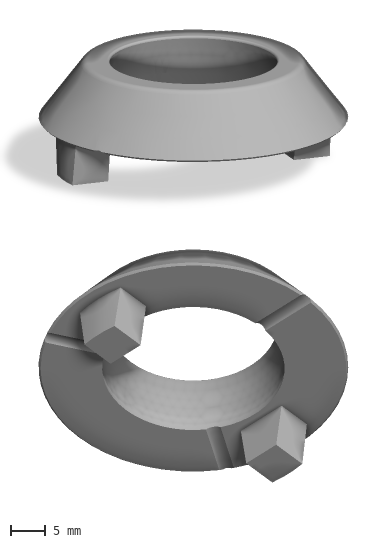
import cadquery as cq
import math

ring_height = 8.925
rim_radius = 22.41
rim_chamfer = 0.3
shoulder_radius = 15.9
shoulder_fillet = 1.2

bore_bottom_radius = 13.2
bore_bulge_radius = 13.5
bore_bulge_height = 2.8
bore_neck_radius = 12.15
neck_fillet = 0.35

leg_length = 7.0
leg_outer_radius = 20.3
leg_inner_offset = 14.5
leg_top_width = 8.0
leg_bottom_width = 5.9

groove_diameter = 3.2
groove_depth = 0.42
groove_angles = [60, 180, 300]


def make_ring():
    """Conical ring with a rounded top shoulder and a bulging bore."""
    blank = (
        cq.Workplane("XZ")
        .moveTo(0, 0)
        .lineTo(rim_radius - rim_chamfer, 0)
        .lineTo(rim_radius, rim_chamfer)
        .lineTo(shoulder_radius, ring_height)
        .lineTo(0, ring_height)
        .close()
        .revolve(360, (0, 0, 0), (0, 1, 0))
        .faces(">Z")
        .edges()
        .fillet(shoulder_fillet)
    )
    neck_height = ring_height - neck_fillet
    fillet_offset = neck_fillet * (1 - math.sqrt(0.5))
    bore = (
        cq.Workplane("XZ")
        .moveTo(0, 0)
        .lineTo(bore_bottom_radius, 0)
        .threePointArc((bore_bulge_radius, bore_bulge_height), (bore_neck_radius, neck_height))
        .threePointArc(
            (bore_neck_radius + fillet_offset, ring_height - fillet_offset),
            (bore_neck_radius + neck_fillet, ring_height),
        )
        .lineTo(0, ring_height)
        .close()
        .revolve(360, (0, 0, 0), (0, 1, 0))
    )
    return blank.cut(bore)


def make_legs():
    """Two tapered legs with flat inner faces and cylindrical outer faces."""
    tapered_bar = (
        cq.Workplane("XZ")
        .moveTo(-leg_top_width / 2, 0)
        .lineTo(leg_top_width / 2, 0)
        .lineTo(leg_bottom_width / 2, -leg_length)
        .lineTo(-leg_bottom_width / 2, -leg_length)
        .close()
        .extrude(leg_outer_radius, both=True)
    )
    envelope = cq.Workplane("XY").circle(leg_outer_radius).extrude(-leg_length)
    gap = cq.Workplane("XY").rect(2 * leg_outer_radius, 2 * leg_inner_offset).extrude(-leg_length)
    return tapered_bar.intersect(envelope).cut(gap)


def make_groove(angle):
    """Round cutter running outward from the axis at the given angle about Z."""
    axis_drop = groove_diameter / 2 - groove_depth
    direction = cq.Vector(math.cos(math.radians(angle)), math.sin(math.radians(angle)), 0)
    cutter = cq.Solid.makeCylinder(
        groove_diameter / 2, rim_radius, cq.Vector(0, 0, -axis_drop), direction
    )
    return cq.Workplane("XY").add(cutter)


ring = make_ring()
for groove_angle in groove_angles:
    ring = ring.cut(make_groove(groove_angle))

result = ring.union(make_legs())